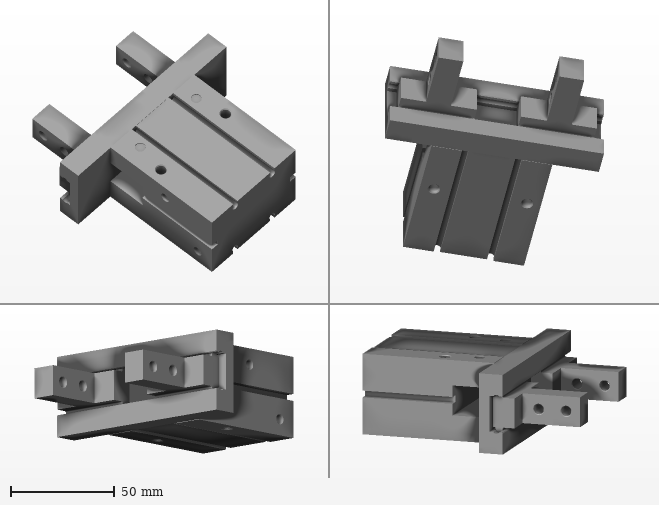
import cadquery as cq
import math

overall_length = 113.0

rail_front_x = 33.9
rail_back_x = 46.0
rail_width = 106.0
rail_height = 39.5

slot_floor_x = 40.7
slot_half_height = 8.9
slot_mouth_chamfer = 0.5

block_width = 59.9
block_height = 40.0
pocket_end_x = 67.0
pocket_height = 14.8
side_slot_height = 3.4
side_slot_depth = 4.1

sensor_groove_y = 13.2
sensor_mouth_width = 3.2
sensor_bore_radius = 2.0
sensor_bore_depth = 3.0
centre_pad_drop = 0.5

through_hole_x = 73.1
through_hole_y = 23.0
through_hole_diameter = 5.2
through_hole_chamfer = 0.5
dowel_recess_x = 56.5
dowel_recess_y = 20.0
dowel_recess_diameter = 5.3
dowel_recess_depth = 0.5
port_diameter = 4.2
port_chamfer = 0.5
port_depth = 5.6
port_orifice_diameter = 0.6
port_orifice_depth = 1.1
upper_port_x = 82.0
lower_port_x = 103.5
port_z = 12.0

mount_hole_count = 2
base_spacing = 59.4
finger_height = pocket_height
finger_width = 12.2
finger_offset = 0.2
finger_back_x = 40.3
base_front_x = 29.4
base_width = 37.6
ridge_x = 37.2
ridge_radius = 1.8
ridge_centre_z = 7.9
mount_hole_first_x = 7.1
mount_hole_pitch = 14.0
mount_hole_diameter = 5.0
mount_hole_chamfer = 0.3

block_length = overall_length - rail_back_x
block_top = block_height / 2
block_side = block_width / 2
finger_half_height = finger_height / 2
SIDES = (-1, 1)


def box(x_start, x_end, width, height, y=0.0, z=0.0):
    """Box between two X planes, centred on the given Y and Z."""
    length = x_end - x_start
    return cq.Workplane("XY").box(length, width, height).translate((x_start + length / 2, y, z))


def revolved_cutter(plane, points):
    """Turned cutter from (radius, depth) points, with depth measured along the plane normal."""
    cutter = cq.Workplane("XY").polyline(points).close().revolve(360, (0, 0), (0, 1))
    return cutter.rotate((0, 0, 0), (1, 0, 0), 90).val().moved(plane.location)


def chamfered_hole(plane, diameter, length, chamfer):
    """Through-hole cutter opened by a chamfer at both ends."""
    radius = diameter / 2
    flare = radius + chamfer
    points = [
        (0, 0),
        (flare, 0),
        (radius, chamfer),
        (radius, length - chamfer),
        (flare, length),
        (0, length),
    ]
    return revolved_cutter(plane, points)


def port_cutter(plane):
    """Flat-bottomed chamfered port with a small orifice in its floor."""
    radius = port_diameter / 2
    orifice_radius = port_orifice_diameter / 2
    bottom = port_depth + port_orifice_depth
    points = [
        (0, 0),
        (radius + port_chamfer, 0),
        (radius, port_chamfer),
        (radius, port_depth),
        (orifice_radius, port_depth),
        (orifice_radius, bottom),
        (0, bottom),
    ]
    return revolved_cutter(plane, points)


def guide_slot():
    """Slot along the rail: chamfered mouth and a round track in the upper and lower wall."""
    mouth = slot_half_height + slot_mouth_chamfer
    chamfer_end_x = rail_front_x + slot_mouth_chamfer
    outline = [
        (rail_front_x, -mouth),
        (chamfer_end_x, -slot_half_height),
        (slot_floor_x, -slot_half_height),
        (slot_floor_x, slot_half_height),
        (chamfer_end_x, slot_half_height),
        (rail_front_x, mouth),
    ]
    slot = cq.Workplane("XZ").polyline(outline).close().extrude(rail_width / 2, both=True)
    for side in SIDES:
        track = cq.Workplane("XZ").center(ridge_x, side * ridge_centre_z).circle(ridge_radius)
        slot = slot.union(track.extrude(rail_width / 2, both=True))
    return slot


def sensor_groove(y, side):
    """Keyhole groove along X in the top (side 1) or bottom (side -1) of the block."""
    bore_z = side * (block_top - sensor_bore_depth)
    mouth_z = side * (block_top - sensor_bore_depth / 2)
    mouth = box(rail_back_x, overall_length, sensor_mouth_width, sensor_bore_depth, y, mouth_z)
    bore_section = cq.Workplane("YZ", origin=(rail_back_x, y, bore_z)).circle(sensor_bore_radius)
    return mouth.union(bore_section.extrude(block_length))


def build_housing():
    housing = box(rail_back_x, overall_length, block_width, block_height)
    housing = housing.cut(box(rail_back_x, pocket_end_x, block_width, pocket_height))

    for side in SIDES:
        slot_y = side * (block_side - side_slot_depth / 2)
        housing = housing.cut(box(pocket_end_x, overall_length, side_slot_depth, side_slot_height, slot_y))
        pad_z = side * (block_top - centre_pad_drop / 2)
        pad_width = 2 * sensor_groove_y
        housing = housing.cut(box(rail_back_x, overall_length, pad_width, centre_pad_drop, z=pad_z))
        for groove_y in (-sensor_groove_y, sensor_groove_y):
            housing = housing.cut(sensor_groove(groove_y, side))

    housing = housing.union(box(rail_front_x, rail_back_x, rail_width, rail_height))
    housing = housing.cut(guide_slot())

    for side in SIDES:
        hole_plane = cq.Plane((through_hole_x, side * through_hole_y, -block_top))
        housing = housing.cut(
            chamfered_hole(hole_plane, through_hole_diameter, block_height, through_hole_chamfer)
        )
        dowel = cq.Workplane("XY", origin=(dowel_recess_x, side * dowel_recess_y, block_top))
        housing = housing.cut(dowel.circle(dowel_recess_diameter / 2).extrude(-dowel_recess_depth))

    for port_x, z in ((upper_port_x, port_z), (lower_port_x, -port_z)):
        port_plane = cq.Plane((port_x, -block_side, z), xDir=(1, 0, 0), normal=(0, 1, 0))
        housing = housing.cut(port_cutter(port_plane))
    return housing


def guide_ridge(side):
    """Round-topped ridge on the finger base, with concave fillets at its foot."""
    foot_fillet = ridge_centre_z - finger_half_height
    foot = ridge_radius + foot_fillet
    diagonal = math.sqrt(0.5)
    fillet_x = foot - foot_fillet * diagonal
    fillet_z = ridge_centre_z - foot_fillet * diagonal
    ridge = (
        cq.Workplane("XZ", origin=(ridge_x, 0, 0))
        .moveTo(-foot, 0)
        .lineTo(-foot, finger_half_height)
        .threePointArc((-fillet_x, fillet_z), (-ridge_radius, ridge_centre_z))
        .threePointArc((0, ridge_centre_z + ridge_radius), (ridge_radius, ridge_centre_z))
        .threePointArc((fillet_x, fillet_z), (foot, finger_half_height))
        .lineTo(foot, 0)
        .close()
        .extrude(base_width / 2, both=True)
    )
    return ridge if side > 0 else ridge.mirror("XY")


def build_finger(side_of_centre):
    """Finger on side 1 (+Y) or -1 (-Y), its stem slightly outboard of the middle of its base."""
    stem_y = side_of_centre * finger_offset
    finger = box(0, base_front_x, finger_width, finger_height, stem_y)
    finger = finger.union(box(base_front_x, finger_back_x, base_width, finger_height))
    for side in SIDES:
        finger = finger.union(guide_ridge(side))
    for index in range(mount_hole_count):
        hole_x = mount_hole_first_x + index * mount_hole_pitch
        hole_plane = cq.Plane((hole_x, stem_y - finger_width / 2, 0), xDir=(1, 0, 0), normal=(0, 1, 0))
        finger = finger.cut(
            chamfered_hole(hole_plane, mount_hole_diameter, finger_width, mount_hole_chamfer)
        )
    return finger.translate((0, side_of_centre * base_spacing / 2, 0))


housing = build_housing()
fingers = [build_finger(side) for side in SIDES]

result = cq.Compound.makeCompound([housing.val(), *[finger.val() for finger in fingers]])